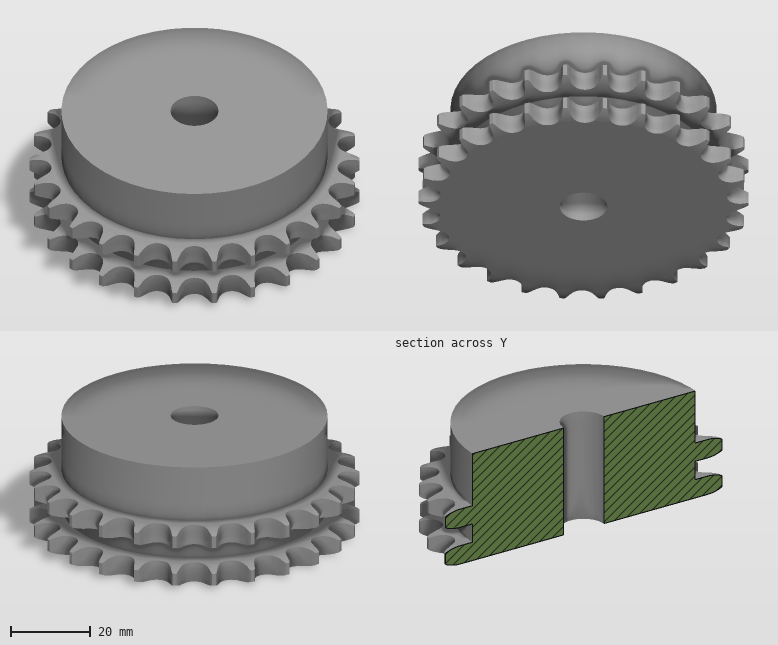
import cadquery as cq
import math

height = 30.0
hub_diameter = 67.0
bore_diameter = 12.0

tooth_count = 26
pitch_radius = 39.5
strand_pitch = 10.2
seat_radius = 3.2

tip_diameter = 83
disc_thickness = 5.2
strand_count = 2

relief_start_radius = 37.1
relief_arc_radius = 10

seat_half_angle = math.radians(90 - (35 + 60 / tooth_count))
working_arc_angle = math.radians(18 - 56 / tooth_count)
working_arc_radius = 8.3
straight_length = 0.8
topping_radius = 5.15
cutter_overrun = 1.7

tip_radius = tip_diameter / 2
cutter_radius = tip_radius + cutter_overrun
relief_span = math.asin((tip_radius - relief_start_radius) / relief_arc_radius)
relief_depth = relief_arc_radius * (1 - math.cos(relief_span))


def arc_point(center, radius, angle):
    """Point on a circle, with the angle measured from +X."""
    return (center[0] + radius * math.cos(angle), center[1] + radius * math.sin(angle))


def flank_points():
    """One flank of the tooth gap centred on +Y, from the seat end to the tooth tip.

    Returns the end points and arc middles in order along the flank.
    """
    roller_center = (0, pitch_radius)
    floor_angle = -math.pi / 2
    seat_end_angle = floor_angle + seat_half_angle
    seat_end = arc_point(roller_center, seat_radius, seat_end_angle)

    working_center = arc_point(seat_end, working_arc_radius, seat_end_angle + math.pi)
    working_end_angle = seat_end_angle + working_arc_angle
    working_middle_angle = seat_end_angle + working_arc_angle / 2
    working_middle = arc_point(working_center, working_arc_radius, working_middle_angle)
    working_end = arc_point(working_center, working_arc_radius, working_end_angle)

    straight_end = arc_point(working_end, straight_length, working_end_angle + math.pi / 2)

    topping_center = arc_point(straight_end, topping_radius, working_end_angle)
    topping_start_angle = working_end_angle + math.pi
    center_distance = math.hypot(*topping_center)
    center_direction = math.atan2(topping_center[1], topping_center[0])
    cosine = (tip_radius**2 - center_distance**2 - topping_radius**2) / (2 * center_distance * topping_radius)
    topping_end_angle = center_direction + math.acos(cosine)
    topping_middle = arc_point(topping_center, topping_radius, (topping_start_angle + topping_end_angle) / 2)
    topping_end = arc_point(topping_center, topping_radius, topping_end_angle)
    return seat_end, working_middle, working_end, straight_end, topping_middle, topping_end


def mirrored(point):
    """The same point on the opposite flank."""
    return (-point[0], point[1])


def gap_cutter():
    """Solid filling the tooth gap centred on +Y, as thick as one disc."""
    seat_end, working_middle, working_end, straight_end, topping_middle, topping_end = flank_points()
    return (
        cq.Workplane("XY")
        .moveTo(*mirrored(seat_end))
        .threePointArc((0, pitch_radius - seat_radius), seat_end)
        .threePointArc(working_middle, working_end)
        .lineTo(*straight_end)
        .threePointArc(topping_middle, topping_end)
        .lineTo(topping_end[0], cutter_radius)
        .lineTo(-topping_end[0], cutter_radius)
        .lineTo(*mirrored(topping_end))
        .threePointArc(mirrored(topping_middle), mirrored(straight_end))
        .lineTo(*mirrored(working_end))
        .threePointArc(mirrored(working_middle), mirrored(seat_end))
        .close()
        .extrude(disc_thickness)
    )


def disc_blank():
    """Round disc with both rim edges relieved by an arc tangent to the flat faces."""
    lower_center = (relief_start_radius, relief_arc_radius)
    upper_center = (relief_start_radius, disc_thickness - relief_arc_radius)
    lower_middle = arc_point(lower_center, relief_arc_radius, (relief_span - math.pi) / 2)
    upper_middle = arc_point(upper_center, relief_arc_radius, (math.pi - relief_span) / 2)
    return (
        cq.Workplane("XZ")
        .lineTo(relief_start_radius, 0)
        .threePointArc(lower_middle, (tip_radius, relief_depth))
        .lineTo(tip_radius, disc_thickness - relief_depth)
        .threePointArc(upper_middle, (relief_start_radius, disc_thickness))
        .lineTo(0, disc_thickness)
        .close()
        .revolve(360, (0, 0, 0), (0, 1, 0))
    )


def toothed_disc():
    """One strand of the sprocket, with its lower face at Z = 0 and a gap centred on +Y."""
    disc = disc_blank()
    cutter = gap_cutter()
    for gap in range(tooth_count):
        disc = disc.cut(cutter.rotate((0, 0, 0), (0, 0, 1), gap * 360 / tooth_count))
    return disc


sprocket = cq.Workplane("XY").circle(hub_diameter / 2).extrude(height)
disc = toothed_disc()
for strand in range(strand_count):
    sprocket = sprocket.union(disc.translate((0, 0, strand * strand_pitch)))

bore = cq.Workplane("XY").circle(bore_diameter / 2).extrude(height)
result = sprocket.cut(bore)